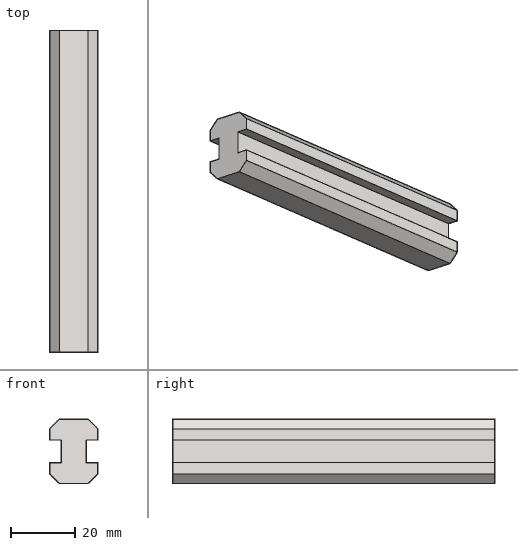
import cadquery as cq

width = 15.0
length = 100.0
height = 20.0

corner_chamfer = 3.0
slot_height = 7.0
web_width = 7.8
slot_depth = (width - web_width) / 2


def chamfered_bar():
    """Full-length bar with its four long edges chamfered."""
    return cq.Workplane("XY").box(width, length, height).edges("|Y").chamfer(corner_chamfer)


def side_slot(side):
    """Full-length rectangular slot in the -X (side = -1) or +X (side = 1) face."""
    slot_center = side * (width - slot_depth) / 2
    return cq.Workplane("XY").box(slot_depth, length, slot_height).translate((slot_center, 0, 0))


result = chamfered_bar()
for side in (-1, 1):
    result = result.cut(side_slot(side))